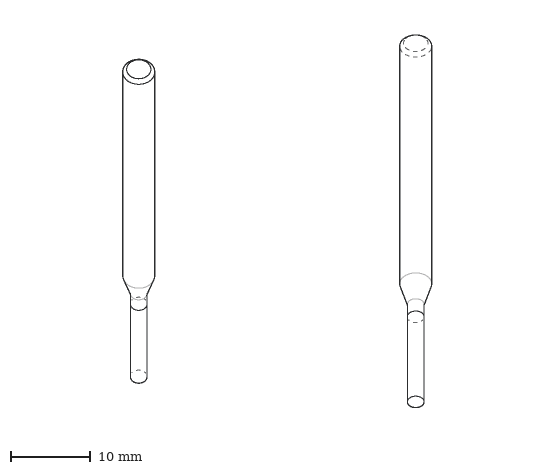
import cadquery as cq
import math

TOTAL_LENGTH = 62.0
SHANK_DIAMETER = 4.0
DRILL_DIAMETER = 2.1
POINT_ANGLE = 140.0
DRILL_LENGTH = 15.0
NECK_LENGTH = 2.1
TAPER_LENGTH = 3.55
CHAMFER = 0.5

shank_radius = SHANK_DIAMETER / 2
drill_radius = DRILL_DIAMETER / 2
point_height = drill_radius / math.tan(math.radians(POINT_ANGLE / 2))
taper_bottom = DRILL_LENGTH + NECK_LENGTH
taper_top = taper_bottom + TAPER_LENGTH


def revolve_profile(points):
    """Turn a closed (radius, height) outline about the Z axis."""
    return (
        cq.Workplane("XZ")
        .polyline(points)
        .close()
        .revolve(360, (0, 0, 0), (0, 1, 0))
    )


def make_drill():
    """Straight cutting section with a conical point."""
    return revolve_profile([
        (0, 0),
        (drill_radius, point_height),
        (drill_radius, DRILL_LENGTH),
        (0, DRILL_LENGTH),
    ])


def make_shank():
    """Neck, taper and cylindrical shank with a chamfered back end."""
    return revolve_profile([
        (0, DRILL_LENGTH),
        (drill_radius, DRILL_LENGTH),
        (drill_radius, taper_bottom),
        (shank_radius, taper_top),
        (shank_radius, TOTAL_LENGTH - CHAMFER),
        (shank_radius - CHAMFER, TOTAL_LENGTH),
        (0, TOTAL_LENGTH),
    ])


drill = make_drill()
shank = make_shank()

result = cq.Compound.makeCompound([drill.val(), shank.val()])